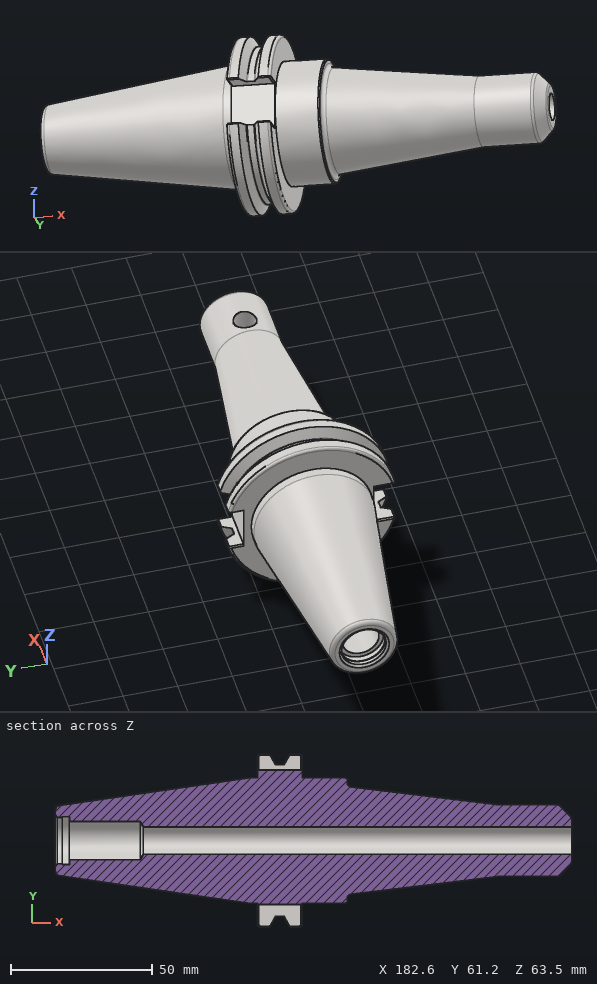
import cadquery as cq
import math


gauge_diameter = 44.45
taper_ratio = 7 / 24
taper_length = 68.25
taper_end_round = 1.7

flange_diameter = 63.5
flange_start = 3.175
flange_end = 19.05
flange_rim_round = 1.0
groove_bottom_diameter = 56.0
groove_bottom_width = 2.9
groove_bottom_round = 0.4
groove_half_angle = math.radians(30)

slot_width = 16.1
slot_edge_chamfer = 0.52
shallow_floor = 22.6
deep_floor = 25.0

shoulder_end = 35.0
shoulder_chamfer = 0.5
shoulder_fillet = 1.6

neck_root_diameter = 38.0
nose_diameter = 25.4
nose_start = 88.8
nose_end = 114.3
nose_tip_diameter = 16.3
nose_round = 1.5

through_diameter = 9.53
mouth_diameter = 18.2
mouth_chamfer_depth = 0.7
lip_diameter = 16.3
lip_depth = 2.5
recess_diameter = 16.8
recess_depth = 5.0
thread_diameter = 13.39
thread_depth = 30.0
drill_half_angle = math.radians(59)

screw_diameter = 8.38
screw_position = 94.7

flange_width = flange_end - flange_start
flange_middle = (flange_start + flange_end) / 2
flange_radius = flange_diameter / 2


def revolve_about_axis(profile):
    """Close a half profile drawn in XY and turn it about the X axis."""
    return profile.close().revolve(360, (0, 0, 0), (1, 0, 0))


def make_taper():
    big_radius = gauge_diameter / 2
    small_radius = big_radius - taper_length * taper_ratio / 2
    taper = revolve_about_axis(
        cq.Workplane("XY")
        .moveTo(-taper_length, 0)
        .lineTo(-taper_length, small_radius)
        .lineTo(0, big_radius)
        .lineTo(0, 0)
    )
    return taper.faces("<X").edges().fillet(taper_end_round)


def make_shoulder_and_neck():
    shoulder_radius = gauge_diameter / 2
    neck_root_radius = neck_root_diameter / 2
    neck_start = shoulder_end + shoulder_fillet
    return revolve_about_axis(
        cq.Workplane("XY")
        .moveTo(0, 0)
        .lineTo(0, shoulder_radius)
        .lineTo(shoulder_end - shoulder_chamfer, shoulder_radius)
        .lineTo(shoulder_end, shoulder_radius - shoulder_chamfer)
        .lineTo(shoulder_end, neck_root_radius + shoulder_fillet)
        .radiusArc((neck_start, neck_root_radius), -shoulder_fillet)
        .lineTo(nose_start, nose_diameter / 2)
        .lineTo(nose_start, 0)
    )


def make_nose():
    """Cylinder with a 45 degree bevel, rounded where the bevel meets the side and the end."""
    bevel = (nose_diameter - nose_tip_diameter) / 2
    nose = (
        cq.Workplane("YZ", origin=(nose_start, 0, 0))
        .circle(nose_diameter / 2)
        .extrude(nose_end - nose_start)
        .faces(">X")
        .edges()
        .chamfer(bevel)
    )
    return nose.faces("%CONE").edges("%CIRCLE").fillet(nose_round)


def cut_drive_slot(disc, side, floor):
    """Cut a slot on the +Y (side 1) or -Y (side -1) rim and chamfer its outer edges."""
    depth = flange_radius - floor
    slot_middle = side * (floor + depth / 2)
    slot = cq.Workplane("XY").box(flange_width, depth, slot_width)
    slotted = disc.cut(slot.translate((flange_middle, slot_middle, 0)))

    margin = 0.1
    near_y, far_y = sorted((side * (floor + margin), side * flange_radius))
    for wall_z in (-slot_width / 2, slot_width / 2):
        wall_edges = cq.selectors.BoxSelector(
            (flange_start - margin, near_y, wall_z - margin),
            (flange_end + margin, far_y, wall_z + margin),
        )
        slotted = slotted.edges(wall_edges).chamfer(slot_edge_chamfer)
    return slotted


def make_groove_cutter():
    """V-groove ring with a flat, round-cornered bottom."""
    bottom = groove_bottom_diameter / 2
    outside = flange_radius + 1
    half_bottom = groove_bottom_width / 2
    half_top = half_bottom + (outside - bottom) * math.tan(groove_half_angle)
    ring = revolve_about_axis(
        cq.Workplane("XY")
        .moveTo(flange_middle - half_bottom, bottom)
        .lineTo(flange_middle + half_bottom, bottom)
        .lineTo(flange_middle + half_top, outside)
        .lineTo(flange_middle - half_top, outside)
    )
    return ring.edges(cq.selectors.RadiusNthSelector(0)).fillet(groove_bottom_round)


def make_flange():
    disc = (
        cq.Workplane("YZ", origin=(flange_start, 0, 0))
        .circle(flange_radius)
        .extrude(flange_width)
        .edges("%CIRCLE")
        .fillet(flange_rim_round)
    )
    for side, floor in ((-1, shallow_floor), (1, deep_floor)):
        disc = cut_drive_slot(disc, side, floor)
    return disc.cut(make_groove_cutter())


def make_bores():
    """Recessed drawbar mouth, thread bore with a drill-point end, and the through bore."""
    back = -taper_length
    through_radius = through_diameter / 2
    thread_radius = thread_diameter / 2
    lip_radius = lip_diameter / 2
    recess_radius = recess_diameter / 2
    drill_point_length = (thread_radius - through_radius) / math.tan(drill_half_angle)
    return revolve_about_axis(
        cq.Workplane("XY")
        .moveTo(back, 0)
        .lineTo(back, mouth_diameter / 2)
        .lineTo(back + mouth_chamfer_depth, lip_radius)
        .lineTo(back + lip_depth, lip_radius)
        .lineTo(back + lip_depth, recess_radius)
        .lineTo(back + recess_depth, recess_radius)
        .lineTo(back + recess_depth, thread_radius)
        .lineTo(back + thread_depth, thread_radius)
        .lineTo(back + thread_depth + drill_point_length, through_radius)
        .lineTo(nose_end, through_radius)
        .lineTo(nose_end, 0)
    )


def make_screw_hole():
    return (
        cq.Workplane("XY", origin=(screw_position, 0, 0))
        .circle(screw_diameter / 2)
        .extrude(nose_diameter / 2)
    )


body = make_taper().union(make_shoulder_and_neck()).union(make_nose()).union(make_flange())
result = body.cut(make_bores()).cut(make_screw_hole())